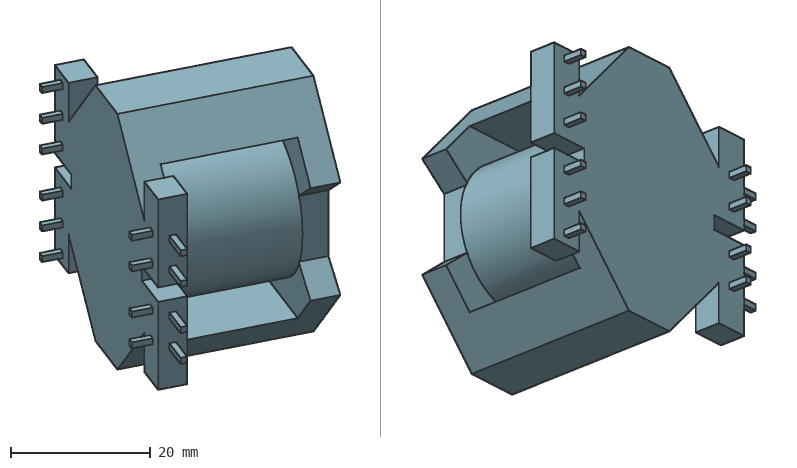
import cadquery as cq

core_width = 30.1
core_depth = 30.1
core_height = 42.4
crown_width = 8.75
side_height = 18.65
front_plate_thickness = 4.45
back_plate_thickness = 4.6
window_height = 29.9
back_plate_front_y = core_depth - back_plate_thickness

notch_depth = 4.75
notch_floor_height = 10.9

rails_width = 41.0
rail_height = 31.55
slot_height = 2.35
slot_floor_spacing = 28.1

pin_size = 1.0
front_pin_length = 3.2
side_pin_length = 4.45
front_pin_spacing = 35.65
pin_pitch = 5.1
inner_pin_z = 3.8
left_pins_per_half = 3
right_pins_per_half = 2

winding_diameter = 24.0
winding_clearance = 0.05
winding_length = back_plate_front_y - front_plate_thickness - winding_clearance


def prism(outline, start_y, end_y):
    """Solid with the given XZ outline between two Y positions."""
    plane = cq.Workplane("XZ", origin=(0, start_y, 0))
    return plane.polyline(outline).close().extrude(start_y - end_y)


def centred_block(width, height, start_y, end_y):
    """Block centred on the Y axis, between two Y positions."""
    plane = cq.Workplane("XZ", origin=(0, start_y, 0))
    return plane.rect(width, height).extrude(start_y - end_y)


def pin_heights(pins_per_half):
    """Z positions of the pins in one row, mirrored about mid height."""
    upper = [inner_pin_z + i * pin_pitch for i in range(pins_per_half)]
    return upper + [-z for z in upper]


def make_core():
    side_x = core_width / 2
    side_z = side_height / 2
    crown_x = crown_width / 2
    crown_z = core_height / 2
    octagon = [
        (-crown_x, crown_z),
        (crown_x, crown_z),
        (side_x, side_z),
        (side_x, -side_z),
        (crown_x, -crown_z),
        (-crown_x, -crown_z),
        (-side_x, -side_z),
        (-side_x, side_z),
    ]
    core = prism(octagon, 0, core_depth)
    window = centred_block(core_width, window_height, front_plate_thickness, back_plate_front_y)
    return core.cut(window)


def make_notch(side):
    """Cutter for one back plate notch; side is -1 for -X and 1 for +X."""
    mouth_x = side * core_width / 2
    floor_x = side * (core_width / 2 - notch_depth)
    mouth_z = side_height / 2
    floor_z = notch_floor_height / 2
    outline = [(mouth_x, mouth_z), (floor_x, floor_z), (floor_x, -floor_z), (mouth_x, -mouth_z)]
    return prism(outline, back_plate_front_y, core_depth)


def make_rails():
    """Both rails, each reaching inward to the side of the core."""
    rails = centred_block(rails_width, rail_height, 0, front_plate_thickness)
    between = centred_block(core_width, rail_height, 0, front_plate_thickness)
    return rails.cut(between)


def make_slots():
    """Cutters for the mid-height slots, open at the outer faces of the rails."""
    slots = centred_block(rails_width, slot_height, 0, front_plate_thickness)
    between = centred_block(slot_floor_spacing, slot_height, 0, front_plate_thickness)
    return slots.cut(between)


def make_front_pins(x, pins_per_half):
    """Row of pins pointing toward -Y."""
    points = [(x, z) for z in pin_heights(pins_per_half)]
    return cq.Workplane("XZ").pushPoints(points).rect(pin_size, pin_size).extrude(front_pin_length)


def make_side_pins():
    """Row of pins pointing toward +X from the right rail, centred on its thickness."""
    points = [(front_plate_thickness / 2, z) for z in pin_heights(right_pins_per_half)]
    plane = cq.Workplane("YZ", origin=(rails_width / 2, 0, 0))
    return plane.pushPoints(points).rect(pin_size, pin_size).extrude(side_pin_length)


def make_housing():
    """Core, rails and pins as one solid."""
    housing = make_core().union(make_rails())
    housing = housing.cut(make_slots())
    for side in (-1, 1):
        housing = housing.cut(make_notch(side))
    housing = housing.union(make_front_pins(-front_pin_spacing / 2, left_pins_per_half))
    housing = housing.union(make_front_pins(front_pin_spacing / 2, right_pins_per_half))
    housing = housing.union(make_side_pins())
    return housing.clean().solids()


def make_winding():
    plane = cq.Workplane("XZ", origin=(0, front_plate_thickness, 0))
    return plane.circle(winding_diameter / 2).extrude(-winding_length)


housing = make_housing()
winding = make_winding()

result = cq.Compound.makeCompound([housing.val(), winding.val()])